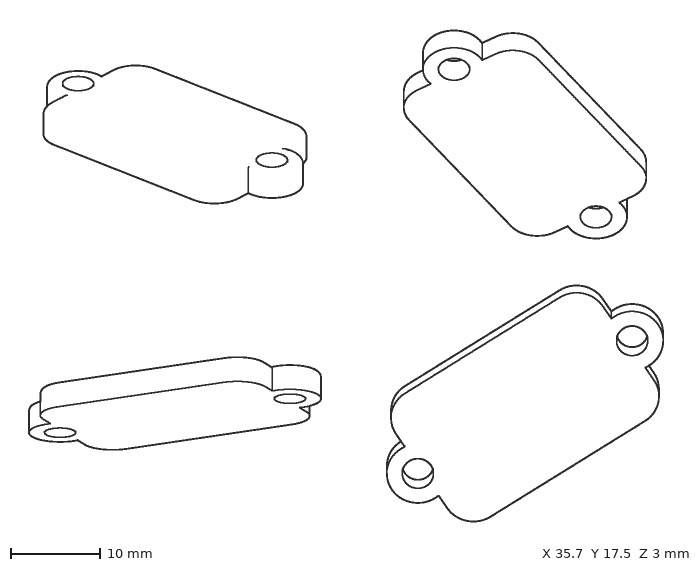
import cadquery as cq

length = 35.7
width = 17.5
thickness = 3.0

body_length = 27.7
corner_radius = 3.5
ear_radius = 3.5
hole_diameter = 3.5
top_edge_radius = 0.5
ear_spacing = length - 2 * ear_radius
ear_centers = [(-ear_spacing / 2, 0), (ear_spacing / 2, 0)]


def make_body():
    """Rectangular plate with rounded vertical corners."""
    plate = cq.Workplane("XY").rect(body_length, width).extrude(thickness)
    return plate.edges("|Z").fillet(corner_radius)


def make_ears():
    """Round mounting ears centred on the two end holes."""
    return cq.Workplane("XY").pushPoints(ear_centers).circle(ear_radius).extrude(thickness)


def make_holes():
    """Through holes concentric with the ears."""
    return cq.Workplane("XY").pushPoints(ear_centers).circle(hole_diameter / 2).extrude(thickness)


outline = make_body().union(make_ears())
rounded_plate = outline.faces(">Z").edges().fillet(top_edge_radius)
result = rounded_plate.cut(make_holes())